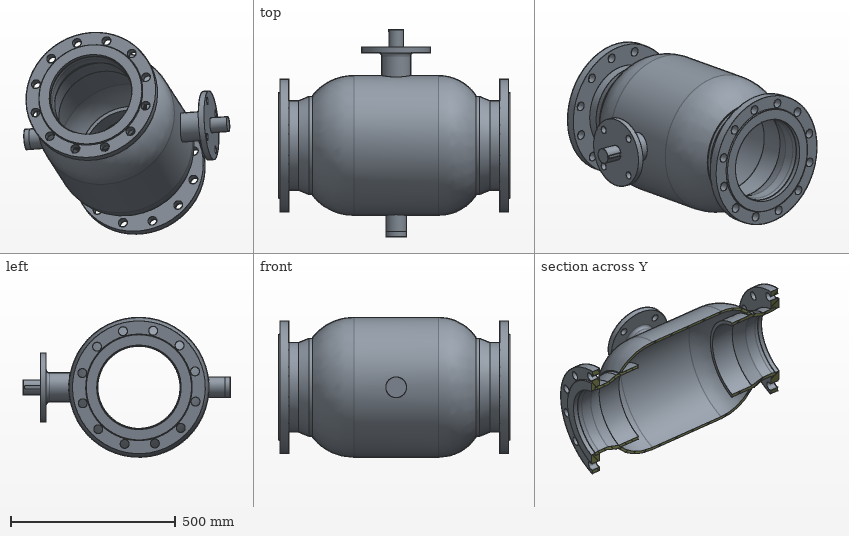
import cadquery as cq
import math


face_to_face = 705.0
pipe_centre_x = -5.8
total_width_y = 630.0
stem_top_y = 352.0

flange_diameter = 404.0
flange_thickness = 27.5
raised_face_diameter = 320.0
raised_face_base_diameter = 324.0
raised_face_height = 4.5
flange_mouth_diameter = 257.0
flange_mouth_depth = 15.0
bolt_circle_diameter = 355.0
bolt_hole_diameter = 27.0
bolt_hole_count = 12
bolt_turn = 15.85

pipe_diameter = 273.0
pipe_bore = 250.0
pipe_mouth_diameter = 254.0
pipe_mouth_length = 13.0
sleeve_diameter = 298.5
sleeve_bore = 276.0
pipe_length = 30.0
cone_length = 30.5
sleeve_outside_length = 11.5
inner_cone_length = 41.0
sleeve_inner_length = 74.0

shell_diameter = 426.0
shell_wall = 10.0
barrel_length = 257.0
dome_end_diameter = 305.0

bonnet_tube_diameter = 88.9
bonnet_flange_diameter = 210.0
bonnet_flange_thickness = 18.0
bonnet_flange_top_y = 300.0
bonnet_fillet = 10.0
bonnet_bolt_circle = 165.0
bonnet_bolt_hole = 22.0
bonnet_bolt_count = 4
bonnet_turn = 45.0

stem_diameter = 46.0
keyway_width = 10.0
keyway_depth = 5.0
keyway_end_gap = 3.0

trunnion_diameter = 63.0
plug_thickness = 16.0

face = face_to_face / 2
flange_front = face - raised_face_height
flange_back = flange_front - flange_thickness
socket_bottom = face - flange_mouth_depth
cone_start = flange_back - pipe_length
cone_end = cone_start - cone_length
shell_end = cone_end - sleeve_outside_length
inner_cone_end = cone_start - inner_cone_length
sleeve_end = inner_cone_end - sleeve_inner_length

shell_radius = shell_diameter / 2
shell_inner_radius = shell_radius - shell_wall
trunnion_end_y = stem_top_y - total_width_y
plug_inner_y = trunnion_end_y + plug_thickness
sides = (-1, 1)


def revolve_about_pipe(points):
    """Solid of revolution about the pipe axis from (x, radius) points."""
    return cq.Workplane("XY").polyline(points).close().revolve(360, (0, 0, 0), (1, 0, 0))


def y_cylinder(diameter, y_start, y_end):
    """Cylinder on the stem axis, from y_start up to y_end."""
    return cq.Workplane("XZ", origin=(0, y_start, 0)).circle(diameter / 2).extrude(y_start - y_end)


def barrel_envelope():
    """The full round of the shell barrel, used to end the bonnet and trunnion on its surface."""
    return cq.Workplane("YZ").circle(shell_radius).extrude(barrel_length / 2, both=True)


def at_end(side, stations):
    """(distance, diameter) stations of one pipe end as (x, radius) points."""
    return [(pipe_centre_x + side * distance, diameter / 2) for distance, diameter in stations]


def build_flange(side):
    flange = revolve_about_pipe(at_end(side, [
        (face, flange_mouth_diameter),
        (face, raised_face_diameter),
        (flange_front, raised_face_base_diameter),
        (flange_front, flange_diameter),
        (flange_back, flange_diameter),
        (flange_back, pipe_diameter),
        (socket_bottom, pipe_diameter),
        (socket_bottom, flange_mouth_diameter),
    ]))
    bolt_holes = (
        cq.Workplane("YZ", origin=(pipe_centre_x + side * flange_back, 0, 0))
        .polarArray(bolt_circle_diameter / 2, 90, 360, bolt_hole_count)
        .circle(bolt_hole_diameter / 2)
        .extrude(side * flange_thickness)
    )
    return flange.cut(bolt_holes).rotate((0, 0, 0), (1, 0, 0), -bolt_turn)


def build_neck(side):
    return revolve_about_pipe(at_end(side, [
        (socket_bottom, pipe_mouth_diameter),
        (socket_bottom, pipe_diameter),
        (cone_start, pipe_diameter),
        (cone_end, sleeve_diameter),
        (sleeve_end, sleeve_diameter),
        (sleeve_end, sleeve_bore),
        (inner_cone_end, sleeve_bore),
        (cone_start, pipe_bore),
        (socket_bottom - pipe_mouth_length, pipe_bore),
    ]))


def dome_arc(side):
    """Radius and centre height of the arc that runs from the barrel to the shell end."""
    length = abs(pipe_centre_x + side * shell_end) - barrel_length / 2
    drop = (shell_diameter - dome_end_diameter) / 2
    radius = (length ** 2 + drop ** 2) / (2 * drop)
    return radius, shell_radius - radius


def dome_points(side, inset, end_radius):
    """Middle and end point of a dome arc moved inwards by inset and stopped at end_radius."""
    outer_radius, centre_height = dome_arc(side)
    radius = outer_radius - inset
    sweep = math.acos((end_radius - centre_height) / radius)

    def on_arc(angle):
        x = side * (barrel_length / 2 + radius * math.sin(angle))
        return x, centre_height + radius * math.cos(angle)

    return on_arc(sweep / 2), on_arc(sweep)


def build_shell():
    half_barrel = barrel_length / 2
    mouth = sleeve_diameter / 2
    left_mid, left_end = dome_points(-1, 0, dome_end_diameter / 2)
    right_mid, right_end = dome_points(1, 0, dome_end_diameter / 2)
    left_inner_mid, left_inner_end = dome_points(-1, shell_wall, mouth)
    right_inner_mid, right_inner_end = dome_points(1, shell_wall, mouth)
    outline = (
        cq.Workplane("XY")
        .moveTo(left_end[0], mouth)
        .lineTo(*left_end)
        .threePointArc(left_mid, (-half_barrel, shell_radius))
        .lineTo(half_barrel, shell_radius)
        .threePointArc(right_mid, right_end)
        .lineTo(right_end[0], mouth)
        .lineTo(*right_inner_end)
        .threePointArc(right_inner_mid, (half_barrel, shell_inner_radius))
        .lineTo(-half_barrel, shell_inner_radius)
        .threePointArc(left_inner_mid, left_inner_end)
    )
    return outline.close().revolve(360, (0, 0, 0), (1, 0, 0))


def build_bonnet():
    flange_bottom_y = bonnet_flange_top_y - bonnet_flange_thickness
    flange = y_cylinder(bonnet_flange_diameter, flange_bottom_y, bonnet_flange_top_y)
    tube = y_cylinder(bonnet_tube_diameter, 0, flange_bottom_y)
    bolt_holes = (
        cq.Workplane("XZ", origin=(0, flange_bottom_y, 0))
        .polarArray(bonnet_bolt_circle / 2, bonnet_turn, 360, bonnet_bolt_count)
        .circle(bonnet_bolt_hole / 2)
        .extrude(-bonnet_flange_thickness)
    )
    reach = bonnet_tube_diameter
    half_height = bonnet_flange_thickness / 2
    tube_rim = cq.selectors.BoxSelector(
        (-reach, flange_bottom_y - half_height, -reach),
        (reach, flange_bottom_y + half_height, reach),
        boundingbox=True,
    )
    bonnet = flange.union(tube).edges(tube_rim).fillet(bonnet_fillet)
    return bonnet.cut(bolt_holes).cut(barrel_envelope())


def build_stem():
    stem = y_cylinder(stem_diameter, bonnet_flange_top_y, stem_top_y)
    half_width = keyway_width / 2
    tip_y = stem_top_y - keyway_end_gap
    arc_start_y = tip_y - half_width
    keyway = (
        cq.Workplane("YZ", origin=(-stem_diameter / 2, 0, 0))
        .moveTo(bonnet_flange_top_y, -half_width)
        .lineTo(arc_start_y, -half_width)
        .threePointArc((tip_y, 0), (arc_start_y, half_width))
        .lineTo(bonnet_flange_top_y, half_width)
        .close()
        .extrude(keyway_depth)
    )
    return stem.cut(keyway)


def build_trunnion():
    return y_cylinder(trunnion_diameter, plug_inner_y, 0).cut(barrel_envelope())


def build_plug():
    return y_cylinder(trunnion_diameter, trunnion_end_y, plug_inner_y)


shell = build_shell()
flanges = [build_flange(side) for side in sides]
necks = [build_neck(side) for side in sides]
bonnet = build_bonnet()
stem = build_stem()
trunnion = build_trunnion()
plug = build_plug()

result = cq.Compound.makeCompound([
    shell.val(),
    *[flange.val() for flange in flanges],
    *[neck.val() for neck in necks],
    bonnet.val(),
    stem.val(),
    trunnion.val(),
    plug.val(),
])